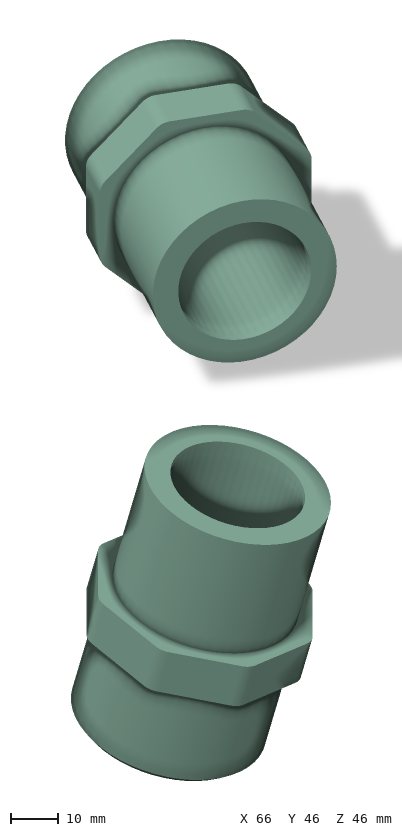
import cadquery as cq
import math

total_length = 66.0
lip_length = 2.4
threaded_end_length = 24.1
collar_length = 10.5
plain_end_length = total_length - lip_length - threaded_end_length - collar_length

bore_diameter = 28.9
lip_diameter = 31.37
threaded_end_diameter = 41.91
plain_end_diameter = 40.0

collar_sides = 8
collar_across_flats = 46.0
collar_corner_radius = 4.0
end_chamfer = 1.5

lip_start = -total_length / 2
threaded_end_start = lip_start + lip_length
collar_start = threaded_end_start + threaded_end_length
plain_end_start = collar_start + collar_length


def cylinder_along_x(start, length, diameter):
    """Solid cylinder on the X axis, beginning at x = start."""
    return cq.Workplane("YZ", origin=(start, 0, 0)).circle(diameter / 2).extrude(length)


def octagonal_collar():
    """Wrench collar with flats facing Y and Z and rounded corners."""
    across_corners = collar_across_flats / math.cos(math.pi / collar_sides)
    half_side_angle = 180 / collar_sides
    return (
        cq.Workplane("YZ", origin=(collar_start, 0, 0))
        .polygon(collar_sides, across_corners)
        .extrude(collar_length)
        .rotate((0, 0, 0), (1, 0, 0), half_side_angle)
        .edges("|X")
        .fillet(collar_corner_radius)
    )


def threaded_end():
    """Large cylinder with a chamfered outer end."""
    body = cylinder_along_x(threaded_end_start, threaded_end_length, threaded_end_diameter)
    return body.faces("<X").edges().chamfer(end_chamfer)


lip = cylinder_along_x(lip_start, lip_length, lip_diameter)
plain_end = cylinder_along_x(plain_end_start, plain_end_length, plain_end_diameter)
bore = cylinder_along_x(lip_start, total_length, bore_diameter)

result = threaded_end().union(lip).union(octagonal_collar()).union(plain_end).cut(bore)